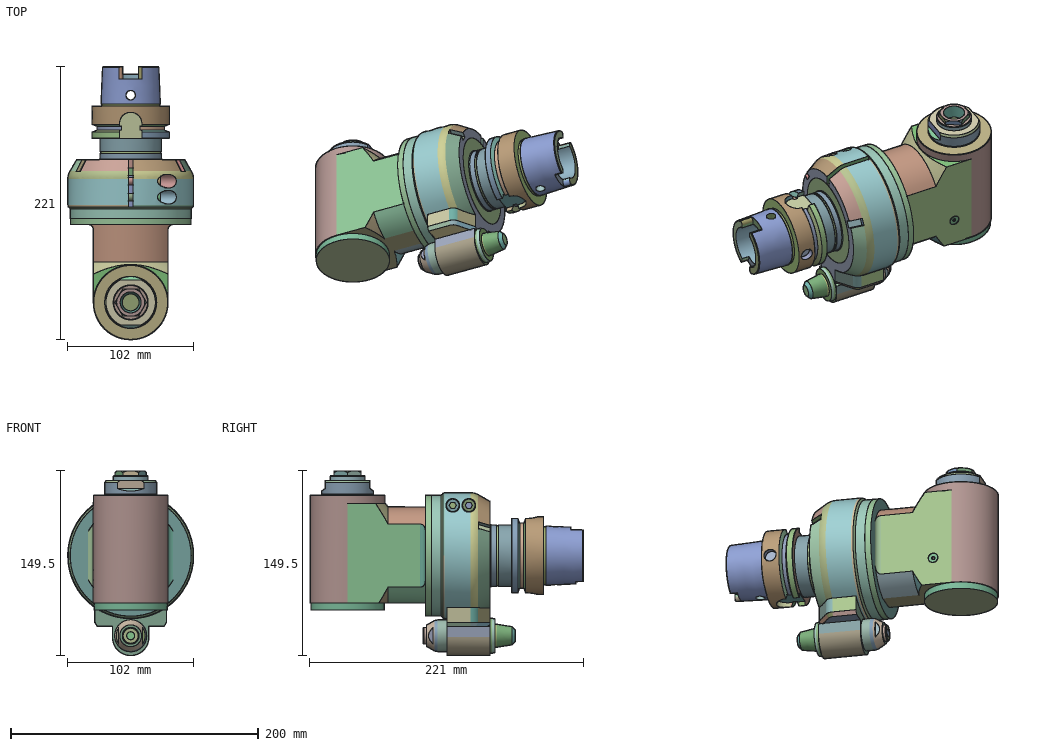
import cadquery as cq
import math


taper_end_y = 32.0
taper_end_radius = 22.9
taper_base_radius = 24.1
taper_base_y = 2.0
taper_undercut_radius = 23.6
taper_edge = 0.6
taper_bore_radius = 17.0
cross_hole_y = 8.9
cross_hole_diameter = 7.5
drive_slot_width = 12.6
drive_slot_lip = 3.0
drive_slot_depth_upper = 10.0
drive_slot_depth_lower = 6.0

flange_radius = 31.5
flange_end_y = -26.0
grip_bottom_radius = 27.5
grip_y = [-14.6, -16.2, -19.3, -21.0]
flange_edge = 0.3
keyway_width = 18.0
keyway_floor = 26.5
keyway_center_y = -13.9
chip_hole_diameter = 10.0
chip_hole_y = -7.2
chip_hole_depth = 5.0
collar_radius = 25.0
collar_groove_radius = 24.4
collar_groove_y = [-36.7, -38.3]
collar_lip_y = -42.6
collar_lip_radius = 25.6

ring_back_y = -43.3
ring_front_y = -81.4
ring_radius = 51.0
ring_cone_angle = 30.0
ring_round_front_y = -58.9
ring_round_length = 6.1
ring_lip_radius = 50.6
ring_lip_length = 1.4
ring_slit_width = 3.8
neck_radius = 36.0
neck_groove_radius = 35.0
neck_groove_y = [-50.0, -56.0]
cone_notch_angle = 60.0
cone_notch_width = 6.0
cone_notch_depth = 3.7
cone_notch_end_y = -52.8

screw_y = [-60.6, -73.6]
screw_z = 40.7
screw_diameter = 6.0
screw_clearance_diameter = 6.5
screw_head_diameter = 10.0
screw_head_bore_diameter = 11.0
screw_head_end_x = 24.3
screw_head_length = 6.0
screw_tip_x = -14.0
screw_socket_flats = 5.0
screw_socket_depth = 3.0

arm_half_width = 29.1
arm_front_y = -78.4
arm_bottom_z = -57.2
arm_back_angle = 55.0
arm_edge_height = 3.3
arm_edge_width = 2.0
pin_z = -64.8
lug_radius = 14.8
lug_center_z = -66.1
pin_flat_half_width = 9.7
pin_flat_start_y = -89.6
pin_back_end_y = -22.9
pin_back_end_radius = 4.7
pin_taper_y = [-25.6, -38.2]
pin_taper_radius = [7.5, 9.5]
pin_collar_y = [-39.4, -41.5]
pin_collar_radius = [13.6, 14.2]
pin_body_radius = 13.0
pin_body_end_y = -85.6
pin_nozzle_y = [-88.3, -94.9]
pin_nozzle_radius = [12.4, 8.8]
pin_tip_y = -97.7
pin_tip_radius = 6.8
pin_tip_edge = 0.7
pin_socket_diameter = 6.5
pin_socket_depth = 2.0

housing_flange_start_y = -83.0
housing_flange_step_y = -90.9
housing_flange_end_y = -95.8
housing_flange_radius = 49.0
housing_flange_front_radius = 48.9
arm_tube_radius = 39.6
side_corner_radius = 4.0
block_start_y = -126.0
block_flare = 1.24
block_top_z = 42.0
block_bottom_z = -38.5
head_y = -158.7
head_radius = 30.3
side_half_width = head_radius
head_top_z = 49.0
head_edge = 0.4
cap_radius = 29.7
cap_bottom_z = -44.0
plug_y = -143.1
plug_z = -15.6
plug_diameter = 8.0
plug_recess = 0.5
plug_socket_diameter = 2.5
plug_socket_depth = 1.5

nose_seat_radius = 20.6
nose_seat_top_z = 50.0
nose_radius = 21.1
nose_top_z = 61.0
nose_edge_height = 1.9
nose_edge_width = 1.1
nose_flat_half_width = 18.1
nose_flat_bottom_z = 54.4
nose_flat_drop = 2.1
nut_collar_radius = 14.2
nut_collar_top_z = 64.7
nut_collar_edge = 0.5
nut_flats = 22.0
nut_top_z = 68.6
nut_edge = 1.4
nut_bore_radius = 8.5
nut_bore_bottom_radius = 6.8
nut_bore_depth = 10.0


def turned_y(points, axis_z=0.0):
    """Solid of revolution about a Y-parallel axis from (radius, y) points."""
    ends = [(0, points[0][1])] + points + [(0, points[-1][1])]
    return cq.Workplane("XY").polyline(ends).close().revolve(360, (0, 0), (0, 1)).translate((0, 0, axis_z))


def box(x_range, y_range, z_range):
    """Box between the given limits."""
    sizes = [r[1] - r[0] for r in (x_range, y_range, z_range)]
    corner = (x_range[0], y_range[0], z_range[0])
    return cq.Workplane("XY").box(*sizes, centered=False).translate(corner)


def cylinder_x(diameter, x_start, x_end, y, z):
    """Cylinder along X from x_start to x_end."""
    plane = cq.Workplane("YZ", origin=(x_start, y, z))
    return plane.circle(diameter / 2).extrude(x_end - x_start)


def cylinder_y(radius, y_start, y_end):
    """Cylinder on the shank axis."""
    return turned_y([(radius, y_start), (radius, y_end)])


def cylinder_z(radius, z_start, z_end):
    """Cylinder on the spindle axis."""
    return cq.Workplane("XY", origin=(0, head_y, z_start)).circle(radius).extrude(z_end - z_start)


def cone_z(bottom_radius, top_radius, z_start, z_end):
    """Frustum on the spindle axis."""
    bottom = cq.Workplane("XY", origin=(0, head_y, z_start)).circle(bottom_radius)
    return bottom.workplane(offset=z_end - z_start).circle(top_radius).loft()


def drive_slot(depth, side):
    """Slot in the taper end with rounded lips; side is +1 above and -1 below the axis."""
    half = drive_slot_width / 2
    lip_top = math.sqrt(taper_end_radius**2 - (half + drive_slot_lip) ** 2)
    lip_start = lip_top - drive_slot_lip
    lip_bend = drive_slot_lip * (1 - math.sqrt(0.5))
    lip_rise = drive_slot_lip * math.sqrt(0.5)
    outer = half + drive_slot_lip
    profile = (
        cq.Workplane("XZ", origin=(0, taper_end_y, 0))
        .moveTo(-half, 0)
        .lineTo(-half, side * lip_start)
        .threePointArc((-half - lip_bend, side * (lip_start + lip_rise)), (-outer, side * lip_top))
        .lineTo(-outer, side * flange_radius)
        .lineTo(outer, side * flange_radius)
        .lineTo(outer, side * lip_top)
        .threePointArc((half + lip_bend, side * (lip_start + lip_rise)), (half, side * lip_start))
        .lineTo(half, 0)
        .close()
    )
    return profile.extrude(depth)


def keyway(side):
    """Round-ended flat keyway in the gripper flange."""
    floor_z = keyway_floor if side > 0 else -flange_radius
    depth = flange_radius - keyway_floor
    half = keyway_width / 2
    plane = cq.Workplane("XY", origin=(0, keyway_center_y, floor_z))
    round_end = plane.circle(half).extrude(depth)
    straight = box((-half, half), (flange_end_y, keyway_center_y), (floor_z, floor_z + depth))
    return round_end.union(straight)


def make_shank():
    """Taper, gripper flange and collar, up to the back of the clamp ring."""
    body = turned_y(
        [
            (taper_end_radius - taper_edge, taper_end_y),
            (taper_end_radius, taper_end_y - taper_edge),
            (taper_base_radius, taper_base_y),
            (taper_undercut_radius, taper_base_y),
            (taper_undercut_radius, 0),
            (flange_radius, 0),
            (flange_radius, grip_y[0]),
            (grip_bottom_radius, grip_y[1]),
            (grip_bottom_radius, grip_y[2]),
            (flange_radius, grip_y[3]),
            (flange_radius, flange_end_y + flange_edge),
            (flange_radius - flange_edge, flange_end_y),
            (collar_radius, flange_end_y),
            (collar_radius, collar_groove_y[0]),
            (collar_groove_radius, collar_groove_y[0]),
            (collar_groove_radius, collar_groove_y[1]),
            (collar_radius, collar_groove_y[1]),
            (collar_radius, collar_lip_y),
            (collar_lip_radius, ring_back_y),
        ]
    )
    body = body.cut(cylinder_y(taper_bore_radius, taper_base_y, taper_end_y))
    body = body.cut(drive_slot(drive_slot_depth_upper, 1)).cut(drive_slot(drive_slot_depth_lower, -1))
    cross_hole = cq.Workplane("XY", origin=(0, cross_hole_y, 0)).circle(cross_hole_diameter / 2)
    body = body.cut(cross_hole.extrude(flange_radius, both=True))
    for side in (1, -1):
        body = body.cut(keyway(side))
    chip_hole_floor_x = chip_hole_depth - flange_radius
    return body.cut(cylinder_x(chip_hole_diameter, -flange_radius, chip_hole_floor_x, chip_hole_y, 0))


def make_neck_and_flange():
    """Neck that carries the clamp ring, and the flange in front of it."""
    return turned_y(
        [
            (neck_radius, ring_back_y),
            (neck_radius, neck_groove_y[0]),
            (neck_groove_radius, neck_groove_y[0]),
            (neck_groove_radius, neck_groove_y[1]),
            (neck_radius, neck_groove_y[1]),
            (neck_radius, ring_front_y),
            (ring_lip_radius, ring_front_y),
            (housing_flange_radius, housing_flange_start_y),
            (housing_flange_radius, housing_flange_step_y),
            (housing_flange_front_radius, housing_flange_step_y),
            (housing_flange_front_radius, housing_flange_end_y),
        ]
    )


def make_arm_tube_and_block():
    """Flat-sided tube that flares conically into the block around the head."""
    flare_end_radius = arm_tube_radius + block_flare * (block_start_y - head_y)
    body = turned_y(
        [
            (arm_tube_radius, housing_flange_end_y),
            (arm_tube_radius, block_start_y),
            (flare_end_radius, head_y),
        ]
    )
    corner_center_y = housing_flange_end_y - side_corner_radius
    bend = side_corner_radius * (1 - math.sqrt(0.5))
    wide = side_half_width + side_corner_radius
    outline = (
        cq.Workplane("XY", origin=(0, 0, block_bottom_z))
        .moveTo(-wide, housing_flange_end_y)
        .threePointArc(
            (-side_half_width - bend, housing_flange_end_y - bend), (-side_half_width, corner_center_y)
        )
        .lineTo(-side_half_width, head_y)
        .lineTo(side_half_width, head_y)
        .lineTo(side_half_width, corner_center_y)
        .threePointArc((side_half_width + bend, housing_flange_end_y - bend), (wide, housing_flange_end_y))
        .close()
    )
    return body.intersect(outline.extrude(block_top_z - block_bottom_z))


def make_head():
    """Vertical head cylinder with its bottom cap and the plug in its side."""
    head = cylinder_z(head_radius, block_bottom_z, head_top_z).faces(">Z").edges().chamfer(head_edge)
    return head.union(cylinder_z(cap_radius, cap_bottom_z, block_bottom_z))


def cut_plug(body):
    """Shallow plug recess with a small socket on the -X side."""
    recess_x = plug_recess - side_half_width
    body = body.cut(cylinder_x(plug_diameter, -head_radius, recess_x, plug_y, plug_z))
    return body.cut(cylinder_x(plug_socket_diameter, recess_x, recess_x + plug_socket_depth, plug_y, plug_z))


def make_nose():
    """Spindle nose with two wrench flats, each ending in a sloping run-out."""
    edge_z = nose_top_z - nose_edge_height
    nose = cylinder_z(nose_radius, nose_seat_top_z, edge_z)
    nose = nose.union(cone_z(nose_radius, nose_radius - nose_edge_width, edge_z, nose_top_z))
    for side in (1, -1):
        flat_y = head_y + side * nose_flat_half_width
        rim_y = head_y + side * nose_radius
        cutter = (
            cq.Workplane("YZ")
            .polyline(
                [
                    (flat_y, nose_top_z),
                    (flat_y, nose_flat_bottom_z),
                    (rim_y, nose_flat_bottom_z - nose_flat_drop),
                    (rim_y, nose_top_z),
                ]
            )
            .close()
            .extrude(nose_radius, both=True)
        )
        nose = nose.cut(cutter)
    return nose.union(cylinder_z(nose_seat_radius, head_top_z, nose_seat_top_z))


def make_nut():
    """Collet nut: round collar below a chamfered hexagon."""
    collar = cylinder_z(nut_collar_radius, nose_top_z, nut_collar_top_z)
    collar = collar.faces(">Z").edges().chamfer(nut_collar_edge)
    corner_diameter = nut_flats / math.cos(math.radians(30))
    hexagon = (
        cq.Workplane("XY", origin=(0, head_y, nut_collar_top_z))
        .polygon(6, corner_diameter)
        .extrude(nut_top_z - nut_collar_top_z)
    )
    rounding = cylinder_z(corner_diameter / 2, nut_collar_top_z, nut_top_z)
    return collar.union(hexagon.intersect(rounding.faces(">Z").edges().chamfer(nut_edge)))


def make_collet_bore():
    """Tapered blind bore for the collet."""
    return cone_z(nut_bore_bottom_radius, nut_bore_radius, nut_top_z - nut_bore_depth, nut_top_z)


def make_angle_head():
    """Shank, housing and spindle in one solid."""
    body = make_shank().union(make_neck_and_flange()).union(make_arm_tube_and_block())
    body = cut_plug(body.union(make_head()))
    return body.union(make_nose()).union(make_nut()).cut(make_collet_bore())


def tapered_back(outer, slope_angle):
    """Points of the back slope for an outside distance: sharp end, arc start, arc middle, arc end."""
    angle = math.radians(slope_angle)
    round_radius = ring_round_length / math.sin(angle)

    def on_arc(turn):
        inset = round_radius * (1 - math.cos(turn))
        return (outer - inset, ring_round_front_y + round_radius * math.sin(turn))

    start = on_arc(angle)
    back = (start[0] - (ring_back_y - start[1]) * math.tan(angle), ring_back_y)
    return back, start, on_arc(angle / 2), on_arc(0)


def make_ring_blank():
    """Solid of the ring outside, conical at the back."""
    back, start, middle, end = tapered_back(ring_radius, ring_cone_angle)
    return (
        cq.Workplane("XY")
        .moveTo(0, ring_back_y)
        .lineTo(*back)
        .lineTo(*start)
        .threePointArc(middle, end)
        .lineTo(ring_radius, ring_front_y + ring_lip_length)
        .lineTo(ring_lip_radius, ring_front_y)
        .lineTo(0, ring_front_y)
        .close()
        .revolve(360, (0, 0), (0, 1))
    )


def make_arm():
    """Arm block under the ring, tapered at the back like the ring, with the pin lug below."""
    right = tapered_back(arm_half_width, arm_back_angle)
    left = [(-x, y) for x, y in right]
    arm = (
        cq.Workplane("XY", origin=(0, 0, arm_bottom_z))
        .moveTo(*right[0])
        .lineTo(*right[1])
        .threePointArc(right[2], right[3])
        .lineTo(arm_half_width, arm_front_y)
        .lineTo(-arm_half_width, arm_front_y)
        .lineTo(*left[3])
        .threePointArc(left[2], left[1])
        .lineTo(*left[0])
        .close()
        .extrude(-arm_bottom_z)
    )
    margin = 1.0
    bottom_edges = cq.selectors.BoxSelector(
        (-ring_radius, arm_front_y + margin, arm_bottom_z - margin),
        (ring_radius, ring_back_y - margin, arm_bottom_z + margin),
    )
    arm = arm.edges(bottom_edges).chamfer(arm_edge_height, arm_edge_width)
    lug = box((-lug_radius, lug_radius), (arm_front_y, ring_back_y), (lug_center_z, arm_bottom_z))
    lug_end = cylinder_y(lug_radius, ring_back_y, arm_front_y).translate((0, 0, lug_center_z))
    return arm.union(lug).union(lug_end)


def make_stop_pin():
    """Stop pin through the lug: tapered back end, and a flatted nozzle in front."""
    pin = turned_y(
        [
            (pin_back_end_radius, pin_back_end_y),
            (pin_taper_radius[0], pin_taper_y[0]),
            (pin_taper_radius[1], pin_taper_y[1]),
            (pin_taper_radius[1], pin_collar_y[0]),
            (pin_collar_radius[0], pin_collar_y[0]),
            (pin_collar_radius[1], pin_collar_y[1]),
            (pin_collar_radius[1], ring_back_y),
            (pin_body_radius, ring_back_y),
            (pin_body_radius, pin_body_end_y),
            (pin_nozzle_radius[0], pin_nozzle_y[0]),
            (pin_nozzle_radius[1], pin_nozzle_y[1]),
            (pin_tip_radius, pin_nozzle_y[1]),
            (pin_tip_radius, pin_tip_y + pin_tip_edge),
            (pin_tip_radius - pin_tip_edge, pin_tip_y),
        ],
        pin_z,
    )
    flat = box(
        (pin_flat_half_width, pin_body_radius),
        (pin_tip_y, pin_flat_start_y),
        (pin_z - pin_body_radius, pin_z + pin_body_radius),
    )
    pin = pin.cut(flat).cut(flat.mirror("YZ"))
    socket = cylinder_y(pin_socket_diameter / 2, pin_tip_y, pin_tip_y + pin_socket_depth)
    return pin.cut(socket.translate((0, 0, pin_z)))


def make_cone_notch(side):
    """Notch with its floor parallel to the ring cone, turned about Y to the +X or -X side."""
    back, _, _, _ = tapered_back(ring_radius, ring_cone_angle)
    slope = math.tan(math.radians(ring_cone_angle))
    depth = cone_notch_depth / math.cos(math.radians(ring_cone_angle))
    floor_back = back[0] - depth
    floor_front = floor_back + (ring_back_y - cone_notch_end_y) * slope
    profile = cq.Workplane("YZ").polyline(
        [
            (ring_back_y, floor_back),
            (cone_notch_end_y, floor_front),
            (cone_notch_end_y, ring_radius),
            (ring_back_y, ring_radius),
        ]
    )
    notch = profile.close().extrude(cone_notch_width / 2, both=True)
    return notch.rotate((0, 0, 0), (0, 1, 0), side * cone_notch_angle)


def make_clamp_ring():
    """Split ring with torque arm and stop pin."""
    ring = make_ring_blank().union(make_arm())
    ring = ring.cut(cylinder_y(neck_radius, ring_back_y, ring_front_y))
    half_slit = ring_slit_width / 2
    ring = ring.cut(box((-half_slit, half_slit), (ring_front_y, ring_back_y), (0, ring_radius)))
    for y in screw_y:
        seat_x = screw_head_end_x - screw_head_length
        ring = ring.cut(cylinder_x(screw_head_bore_diameter, seat_x, ring_radius, y, screw_z))
        ring = ring.cut(cylinder_x(screw_clearance_diameter, 0, seat_x, y, screw_z))
        ring = ring.cut(cylinder_x(screw_diameter, screw_tip_x, 0, y, screw_z))
    for side in (1, -1):
        ring = ring.cut(make_cone_notch(side))
    return ring.union(make_stop_pin())


def make_screw(y):
    """Socket-head clamp screw across the slit."""
    seat_x = screw_head_end_x - screw_head_length
    shaft = cylinder_x(screw_diameter, screw_tip_x, seat_x, y, screw_z)
    head = cylinder_x(screw_head_diameter, seat_x, screw_head_end_x, y, screw_z)
    socket = (
        cq.Workplane("YZ", origin=(screw_head_end_x, y, screw_z))
        .polygon(6, screw_socket_flats / math.cos(math.radians(30)))
        .extrude(-screw_socket_depth)
    )
    return shaft.union(head).cut(socket)


angle_head = make_angle_head()
clamp_ring = make_clamp_ring()
screws = [make_screw(y) for y in screw_y]

result = cq.Compound.makeCompound([angle_head.val(), clamp_ring.val(), *[s.val() for s in screws]])